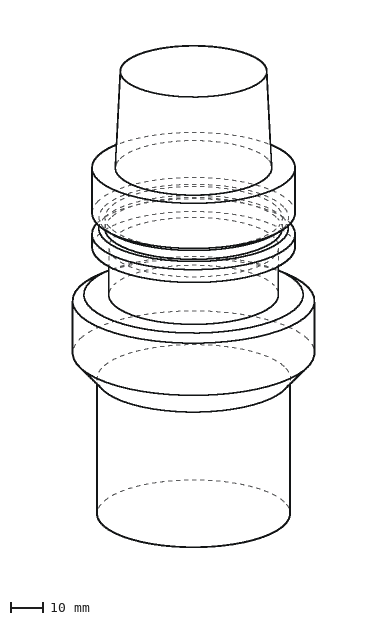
import cadquery as cq

total_height = 146.3
shank_top = 44.8
collar_cone_top = 53.1
collar_height = 19.3
collar_top = collar_cone_top + collar_height
collar_chamfer_height = 2.0
neck_top = 88.2
lower_flange_rim_top = 92.5
groove_bottom = 94.4
groove_top = 98.0
upper_flange_rim_bottom = 99.5
flange_top = 114.4

shank_diameter = 60.0
collar_diameter = 75.0
collar_face_diameter = 68.0
neck_diameter = 52.7
flange_diameter = 63.0
groove_diameter = 55.0
groove_mouth_diameter = 58.8
taper_base_diameter = 48.5
taper_tip_diameter = 45.5

sections = [
    (shank_diameter, shank_diameter, shank_top),
    (shank_diameter, collar_diameter, collar_cone_top),
    (collar_diameter, collar_diameter, collar_top - collar_chamfer_height),
    (collar_diameter, collar_face_diameter, collar_top),
    (neck_diameter, neck_diameter, neck_top),
    (flange_diameter, flange_diameter, lower_flange_rim_top),
    (flange_diameter, groove_mouth_diameter, groove_bottom),
    (groove_diameter, groove_diameter, groove_top),
    (groove_mouth_diameter, flange_diameter, upper_flange_rim_bottom),
    (flange_diameter, flange_diameter, flange_top),
    (taper_base_diameter, taper_tip_diameter, total_height),
]


def half_profile(sections):
    """Closed outline of the part from the axis outward, without repeated points."""
    points = [(0, 0)]
    bottom = 0
    for bottom_diameter, top_diameter, top in sections:
        for point in [(bottom_diameter / 2, bottom), (top_diameter / 2, top)]:
            if point != points[-1]:
                points.append(point)
        bottom = top
    points.append((0, bottom))
    return points


result = cq.Workplane("XZ").polyline(half_profile(sections)).close().revolve(360, (0, 0), (0, 1))